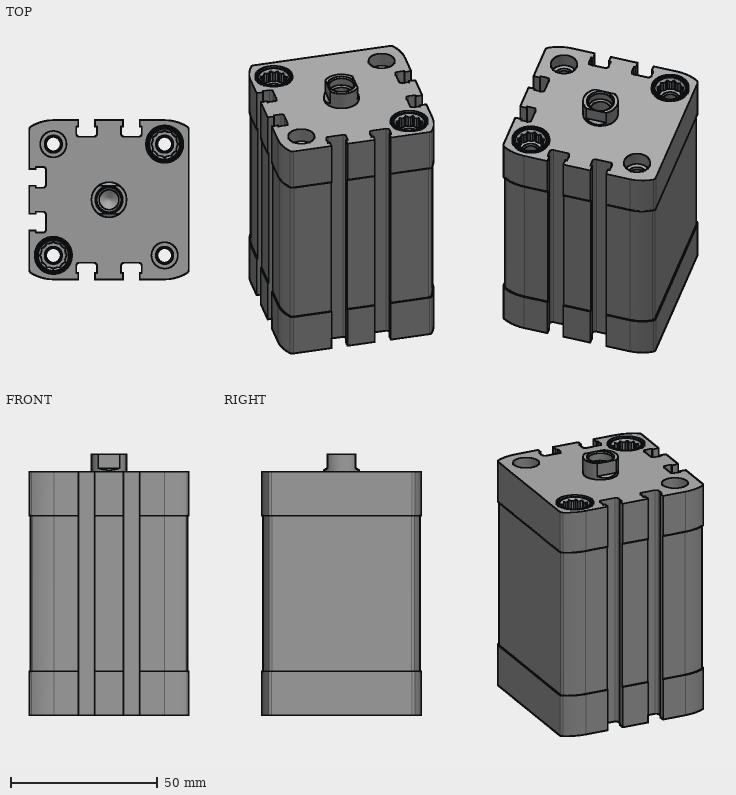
import cadquery as cq
import math

total_height = 89.2
rod_protrusion = 6.0
side = 54.5
cap_height = 15.0
tube_inset = 0.4

arc_start_x = 18.9
corner_arc_radius = 14.8
corner_fillet = 1.3

slot_offset = 7.65
slot_neck_width = 5.65
slot_wide_width = 7.0
slot_neck_depth = 2.3
slot_depth = 5.7
slot_floor_fillet = 1.0

hole_offset = 19.0
counterbore_diameter = 9.0
counterbore_depth = 5.0
thread_diameter = 6.0
through_diameter = 4.92

screw_clearance_diameter = 12.8
screw_head_diameter = 12.0
screw_gap_depth = 0.8
screw_sink = 0.3
screw_head_chamfer = 0.4
socket_mouth_diameter = 10.5
socket_diameter = 8.5
socket_groove_count = 12
socket_groove_depth = 0.4
socket_groove_angle = 112.0
socket_groove_overlap = 0.25

rod_diameter = 12.0
rod_length = 36.0
rod_flat_width = 9.6
flat_edge_height = 1.25
flat_shoulder_angle = 30.0
flat_cutter_margin = 1.0
rod_recess_diameter = 8.4
rod_recess_chamfer = 0.5
rod_recess_depth = 3.2
rod_drill_diameter = 6.79
rod_drill_depth = 20.0
drill_tip_angle = 120.0

housing_height = total_height - rod_protrusion
tube_height = housing_height - 2 * cap_height
half = side / 2
seat_height = housing_height - counterbore_depth
rod_bottom = total_height - rod_length
half_tip = math.radians(drill_tip_angle / 2)


def revolve_profile(points):
    """Solid of revolution about Z from (radius, height) points."""
    return cq.Workplane("XZ").polyline(points).close().revolve(360, (0, 0), (0, 1))


def outline_block(inset, bottom, height):
    """Prism with flat X faces and Y faces that curve back towards the corners."""
    hx = half - inset
    hy = half - inset
    radius = corner_arc_radius - inset
    reach = hx - arc_start_x

    def arc_y(dx):
        return hy - radius + math.sqrt(radius**2 - dx**2)

    mid_x = arc_start_x + reach / 2
    mid_y = arc_y(reach / 2)
    end_y = arc_y(reach)
    block = (
        cq.Workplane("XY")
        .workplane(offset=bottom)
        .moveTo(-arc_start_x, hy)
        .lineTo(arc_start_x, hy)
        .threePointArc((mid_x, mid_y), (hx, end_y))
        .lineTo(hx, -end_y)
        .threePointArc((mid_x, -mid_y), (arc_start_x, -hy))
        .lineTo(-arc_start_x, -hy)
        .threePointArc((-mid_x, -mid_y), (-hx, -end_y))
        .lineTo(-hx, end_y)
        .threePointArc((-mid_x, mid_y), (-arc_start_x, hy))
        .close()
        .extrude(height)
    )
    return block.edges("|Z and (<X or >X)").fillet(corner_fillet)


def slot_cutter():
    """T-slot cut into the +Y face, centred on X = 0."""
    wide_depth = slot_depth - slot_neck_depth
    neck = (
        cq.Workplane("XY")
        .box(slot_neck_width, slot_neck_depth, housing_height, centered=(True, False, False))
        .translate((0, wide_depth, 0))
    )
    wide = (
        cq.Workplane("XY")
        .box(slot_wide_width, wide_depth, housing_height, centered=(True, False, False))
        .edges("|Z and <Y")
        .fillet(slot_floor_fillet)
    )
    return neck.union(wide).translate((0, half - slot_depth, 0))


def lower_hole_profile():
    """(radius, height) points of a corner hole from the bottom face up to its seat."""
    r_thread = thread_diameter / 2
    r_through = through_diameter / 2
    return [
        (0, 0),
        (r_through, 0),
        (r_through, seat_height - (r_thread - r_through)),
        (r_thread, seat_height),
    ]


def corner_hole():
    """Through hole with a conical lead-in and a counterbore, centred on the Z axis."""
    r_bore = counterbore_diameter / 2
    return revolve_profile([
        *lower_hole_profile(),
        (r_bore, seat_height),
        (r_bore, housing_height),
        (0, housing_height),
    ])


def socket_screw_hole():
    """Hole of a hollow socket screw: sunk head, ring gap, conical mouth and grooved socket."""
    face = housing_height - screw_sink
    gap_floor = housing_height - screw_gap_depth
    r_clear = screw_clearance_diameter / 2
    r_head = screw_head_diameter / 2
    r_mouth = socket_mouth_diameter / 2
    r_socket = socket_diameter / 2
    socket_top = face - (r_mouth - r_socket)
    hole = revolve_profile([
        *lower_hole_profile(),
        (r_socket, seat_height),
        (r_socket, socket_top),
        (r_mouth, face),
        (r_head - screw_head_chamfer, face),
        (r_head, face - screw_head_chamfer),
        (r_head, gap_floor),
        (r_clear, gap_floor),
        (r_clear, housing_height),
        (0, housing_height),
    ])
    r_tip = r_socket + socket_groove_depth
    r_base = r_socket - socket_groove_overlap
    half_base = (r_tip - r_base) * math.tan(math.radians(socket_groove_angle / 2))
    groove = (
        cq.Workplane("XY")
        .workplane(offset=seat_height)
        .polyline([(r_base, -half_base), (r_tip, 0), (r_base, half_base)])
        .close()
        .extrude(face - seat_height)
    )
    for i in range(socket_groove_count):
        hole = hole.union(groove.rotate((0, 0, 0), (0, 0, 1), i * 360 / socket_groove_count))
    return hole


housing = outline_block(0, 0, cap_height)
housing = housing.union(outline_block(tube_inset, cap_height, tube_height))
housing = housing.union(outline_block(0, cap_height + tube_height, cap_height))
for face_angle in (0, 90, 180):
    for offset in (-slot_offset, slot_offset):
        slot = slot_cutter().translate((offset, 0, 0))
        housing = housing.cut(slot.rotate((0, 0, 0), (0, 0, 1), face_angle))

for sign in (-1, 1):
    housing = housing.cut(corner_hole().translate((sign * hole_offset, -sign * hole_offset, 0)))
    housing = housing.cut(socket_screw_hole().translate((sign * hole_offset, sign * hole_offset, 0)))

rod_bore = cq.Workplane("XY").workplane(offset=rod_bottom).circle(rod_diameter / 2).extrude(rod_length)
housing = housing.cut(rod_bore)


def flat_cutter():
    """Wrench flat on the +Y side with a sloped shoulder below it."""
    flat_y = rod_flat_width / 2
    outer_y = rod_diameter / 2 + flat_cutter_margin
    edge_z = housing_height + flat_edge_height
    shoulder_drop = (outer_y - flat_y) * math.tan(math.radians(flat_shoulder_angle))
    return (
        cq.Workplane("YZ")
        .polyline([
            (flat_y, edge_z),
            (outer_y, edge_z - shoulder_drop),
            (outer_y, total_height),
            (flat_y, total_height),
        ])
        .close()
        .extrude(rod_diameter / 2, both=True)
    )


def rod_end_hole():
    """Chamfered recess followed by a drilled hole with a conical tip."""
    r_recess = rod_recess_diameter / 2
    r_drill = rod_drill_diameter / 2
    recess_bottom = total_height - rod_recess_depth
    drill_bottom = total_height - rod_drill_depth
    return revolve_profile([
        (0, drill_bottom - r_drill / math.tan(half_tip)),
        (r_drill, drill_bottom),
        (r_drill, recess_bottom - (r_recess - r_drill) / math.tan(half_tip)),
        (r_recess, recess_bottom),
        (r_recess, total_height - rod_recess_chamfer),
        (r_recess + rod_recess_chamfer, total_height),
        (0, total_height),
    ])


rod = cq.Workplane("XY").workplane(offset=rod_bottom).circle(rod_diameter / 2).extrude(rod_length)
for angle in (0, 180):
    rod = rod.cut(flat_cutter().rotate((0, 0, 0), (0, 0, 1), angle))
rod = rod.cut(rod_end_hole())

result = cq.Compound.makeCompound([housing.val(), rod.val()])